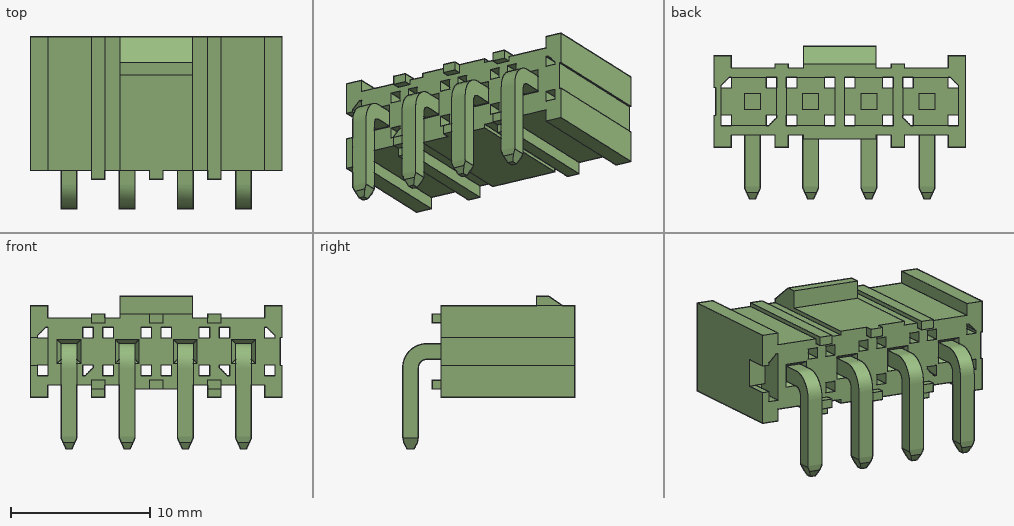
import cadquery as cq


LENGTH = 18.1
DEPTH = 9.63
BODY_HEIGHT = 4.83
FLANGE_HEIGHT = 6.59
FLANGE_WIDTH = 1.27
PAD_WIDTH = 5.23
PAD_HEIGHT = 5.4

PIN_COUNT = 4
PITCH = 4.18
PIN_SIZE = 1.14

RIB_WIDTH = 0.98
TAB_LENGTH = 0.63
TAB_HEIGHT = 0.63

LATCH_TOP = 3.98
LATCH_REAR = 6.86
LATCH_FLAT = 0.89

REAR_WALL = 2.4
CELL_HEIGHT = 3.48
CELL_PARTITION = 0.7
CELL_END_WALL = 0.52
CELL_BEVEL = 0.58
WINDOW_WIDTH = 0.75
WINDOW_HEIGHT = 0.76

RECESS_HEIGHT = 2.0
POCKET_LENGTH = 1.92
SLOT_DEPTH = 0.13

FUNNEL_SIZE = 1.7
FUNNEL_DEPTH = 0.47

PIN_REACH = 2.75
PIN_BOTTOM = -7.02
BEND_INNER_RADIUS = 0.6
TIP_HEIGHT_Y = 0.9
TIP_STEP_HEIGHT = 0.47
TIP_STEP_INSET = 0.07
TIP_LENGTH_Y = 0.49
TIP_HEIGHT_X = 0.8
TIP_WIDTH_X = 0.42

END_X = LENGTH / 2
FLANGE_INNER_X = END_X - FLANGE_WIDTH
PAD_TOP = PAD_HEIGHT / 2
FLANGE_TOP = FLANGE_HEIGHT / 2
PIN_HALF = PIN_SIZE / 2
pin_places = [(i - (PIN_COUNT - 1) / 2) * PITCH for i in range(PIN_COUNT)]
gap_places = [(i - (PIN_COUNT - 2) / 2) * PITCH for i in range(PIN_COUNT - 1)]
outer_gaps = [gap_places[0], gap_places[-1]]


def block(x_range, y_range, z_range):
    """Box spanning the given (low, high) ranges."""
    ranges = (x_range, y_range, z_range)
    sizes = [high - low for low, high in ranges]
    corner = tuple(low for low, _ in ranges)
    return cq.Workplane("XY").box(*sizes, centered=False).translate(corner)


def around(middle, size):
    """(low, high) range of the given size about its middle."""
    return (middle - size / 2, middle + size / 2)


def outer_shell():
    """Plain bar with a flange at each end and a raised pad above and below its middle."""
    full_depth = (0, DEPTH)
    shell = block(around(0, LENGTH), full_depth, around(0, BODY_HEIGHT))
    shell = shell.union(block(around(0, PAD_WIDTH), full_depth, around(0, PAD_HEIGHT)))
    for side in (-1, 1):
        middle_x = side * (END_X - FLANGE_WIDTH / 2)
        shell = shell.union(block(around(middle_x, FLANGE_WIDTH), full_depth, around(0, FLANGE_HEIGHT)))
    return shell


def ribs():
    """Full-depth ribs over the outer gaps between pins: low above, flange-deep below."""
    left, right = [block(around(x, RIB_WIDTH), (0, DEPTH), (-FLANGE_TOP, PAD_TOP)) for x in outer_gaps]
    return left.union(right)


def tabs():
    """Small blocks behind the rear face, above and below every gap between pins."""
    middle_z = PAD_TOP - TAB_HEIGHT / 2
    places = [(x, z) for x in gap_places for z in (-middle_z, middle_z)]
    return (
        cq.Workplane("XZ")
        .pushPoints(places)
        .rect(RIB_WIDTH, TAB_HEIGHT)
        .extrude(TAB_LENGTH)
    )


def latch():
    """Catch with an upright rear face, a flat top and a ramp down to the mating edge."""
    return (
        cq.Workplane("YZ")
        .moveTo(LATCH_REAR, PAD_TOP)
        .lineTo(LATCH_REAR, LATCH_TOP)
        .lineTo(LATCH_REAR + LATCH_FLAT, LATCH_TOP)
        .lineTo(DEPTH, PAD_TOP)
        .close()
        .extrude(PAD_WIDTH / 2, both=True)
    )


def cell_edges():
    """(left, right) edges of every cell: partitions stand midway between pins, walls at the ends."""
    lefts = [CELL_END_WALL - END_X] + [x + CELL_PARTITION / 2 for x in gap_places]
    rights = [x - CELL_PARTITION / 2 for x in gap_places] + [END_X - CELL_END_WALL]
    return list(zip(lefts, rights))


def cell_prism(edges):
    """Full-depth prism with the outline of one cell.

    An end cell has its outer top corner and the diagonally opposite bottom corner bevelled.
    """
    left, right = edges
    prism = block(edges, (0, DEPTH), around(0, CELL_HEIGHT))
    if left < gap_places[0]:
        return prism.edges("|Y and ((<X and >Z) or (>X and <Z))").chamfer(CELL_BEVEL)
    if right > gap_places[-1]:
        return prism.edges("|Y and ((>X and >Z) or (<X and <Z))").chamfer(CELL_BEVEL)
    return prism


def corner_windows(edges):
    """Four blocks through the rear wall, one in each corner of a cell."""
    left, right = edges
    top = CELL_HEIGHT / 2
    rear_depth = (0, REAR_WALL)
    blocks = cq.Workplane("XY")
    for x_range in ((left, left + WINDOW_WIDTH), (right - WINDOW_WIDTH, right)):
        for z_range in ((-top, WINDOW_HEIGHT - top), (top - WINDOW_HEIGHT, top)):
            blocks = blocks.add(block(x_range, rear_depth, z_range))
    return blocks.combine()


def cell_cutters():
    """For every cell, its cavity open at the mating face and its windows in the rear wall."""
    cutters = []
    for edges in cell_edges():
        prism = cell_prism(edges)
        cavity_zone = block(edges, (REAR_WALL, DEPTH), around(0, CELL_HEIGHT))
        cutters.append(prism.intersect(cavity_zone))
        cutters.append(prism.intersect(corner_windows(edges)))
    return cutters


def side_recesses():
    """Rear pocket through the -X flange and a shallow full-depth slot in the +X flange."""
    recess_z = around(0, RECESS_HEIGHT)
    pocket = block((-END_X, -FLANGE_INNER_X), (0, POCKET_LENGTH), recess_z)
    slot = block((END_X - SLOT_DEPTH, END_X), (0, DEPTH), recess_z)
    return [pocket, slot]


def pin_hole(x):
    """Square hole through the rear wall with a tapered lead-in at the rear face."""
    hole = block(around(x, PIN_SIZE), (0, REAR_WALL), around(0, PIN_SIZE))
    funnel = (
        cq.Workplane("XZ", origin=(x, 0, 0))
        .rect(FUNNEL_SIZE, FUNNEL_SIZE)
        .workplane(offset=-FUNNEL_DEPTH)
        .rect(PIN_SIZE, PIN_SIZE)
        .loft(ruled=True)
    )
    return hole.union(funnel)


def make_housing():
    body = outer_shell().union(ribs()).union(tabs()).union(latch())
    cutters = cell_cutters() + side_recesses() + [pin_hole(x) for x in pin_places]
    for cutter in cutters:
        body = body.cut(cutter)
    return body


def tip_bevel(side):
    """Wedge that narrows the pin tip along X on the given side (+1 or -1)."""
    tip_half = TIP_WIDTH_X / 2
    return (
        cq.Workplane("XZ")
        .moveTo(side * tip_half, PIN_BOTTOM)
        .lineTo(side * PIN_HALF, PIN_BOTTOM + TIP_HEIGHT_X)
        .lineTo(side * PIN_HALF, PIN_BOTTOM)
        .close()
        .extrude(PIN_REACH)
    )


def make_pin(x):
    """Square pin: from the mating face through the rear wall, then bent down to a tapered tip."""
    outer_y = -PIN_REACH
    inner_y = outer_y + PIN_SIZE
    bend_y = inner_y + BEND_INNER_RADIUS
    bend_z = -PIN_HALF - BEND_INNER_RADIUS
    leg_y = (outer_y + inner_y) / 2
    taper_z = PIN_BOTTOM + TIP_HEIGHT_Y
    step_z = PIN_BOTTOM + TIP_STEP_HEIGHT
    tip_half = TIP_LENGTH_Y / 2
    bend_outer_radius = BEND_INNER_RADIUS + PIN_SIZE
    pin = (
        cq.Workplane("YZ")
        .moveTo(DEPTH, PIN_HALF)
        .lineTo(bend_y, PIN_HALF)
        .radiusArc((outer_y, bend_z), -bend_outer_radius)
        .lineTo(outer_y, taper_z)
        .lineTo(outer_y + TIP_STEP_INSET, step_z)
        .lineTo(leg_y - tip_half, PIN_BOTTOM)
        .lineTo(leg_y + tip_half, PIN_BOTTOM)
        .lineTo(inner_y - TIP_STEP_INSET, step_z)
        .lineTo(inner_y, taper_z)
        .lineTo(inner_y, bend_z)
        .radiusArc((bend_y, -PIN_HALF), BEND_INNER_RADIUS)
        .lineTo(DEPTH, -PIN_HALF)
        .close()
        .extrude(PIN_HALF, both=True)
    )
    for side in (-1, 1):
        pin = pin.cut(tip_bevel(side))
    return pin.translate((x, 0, 0))


housing = make_housing()
pins = [make_pin(x) for x in pin_places]

result = cq.Compound.makeCompound([housing.val(), *[pin.val() for pin in pins]])